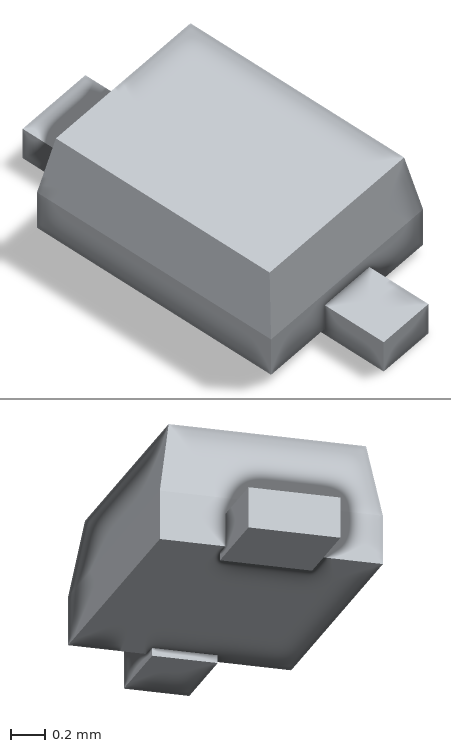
import cadquery as cq

overall_length = 2.72
overall_height = 0.81

housing_length = 1.81
housing_width = 1.37
standoff = 0.05
base_height = 0.305
cap_inset = 0.08
cap_bottom = standoff + base_height

lead_length = 0.56
lead_thickness = 0.253
wide_lead_width = 0.565
narrow_lead_width = 0.403

mark_diameter = 0.09
mark_depth = 0.014
mark_x = -0.72


def make_lead(side, width):
    """Flat lead at the -X end (side = -1) or the +X end (side = 1)."""
    center_x = side * (overall_length - lead_length) / 2
    return (
        cq.Workplane("XY")
        .center(center_x, 0)
        .rect(lead_length, width)
        .extrude(lead_thickness)
    )


def make_mark():
    """Polarity disc whose upper face is level with the housing top."""
    return (
        cq.Workplane("XY", origin=(mark_x, 0, overall_height))
        .circle(mark_diameter / 2)
        .extrude(-mark_depth)
    )


def make_housing(inserts):
    """Housing with a fitting recess for each inserted body."""
    base = (
        cq.Workplane("XY", origin=(0, 0, standoff))
        .rect(housing_length, housing_width)
        .extrude(base_height)
    )
    cap = (
        cq.Workplane("XY", origin=(0, 0, cap_bottom))
        .rect(housing_length, housing_width)
        .workplane(offset=overall_height - cap_bottom)
        .rect(housing_length - 2 * cap_inset, housing_width - 2 * cap_inset)
        .loft(ruled=True)
    )
    housing = base.union(cap)
    for insert in inserts:
        housing = housing.cut(insert)
    return housing.solids()


leads = [
    make_lead(side, width)
    for side, width in ((-1, wide_lead_width), (1, narrow_lead_width))
]
polarity_mark = make_mark()
housing = make_housing([*leads, polarity_mark])

result = cq.Compound.makeCompound(
    [housing.val(), *(lead.val() for lead in leads), polarity_mark.val()]
)